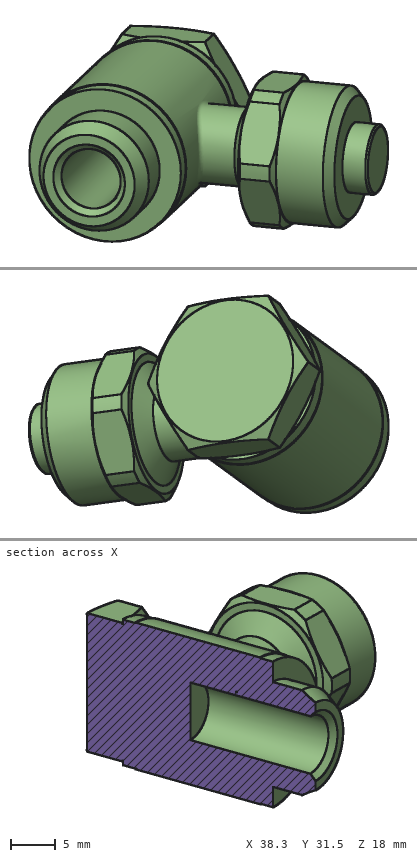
import cadquery as cq
import math


bolt_end_y = -17.2
washer_bottom_y = -11.35
body_bottom_y = -9.58
body_top_y = 7.55
head_bottom_y = 9.3
head_top_y = 14.3
body_radius = 9.0
washer_radius = 8.93
head_flats = 16.97
head_chamfer_radius = 8.3
stub_radius = 6.45
stub_tip_radius = 5.35
bore_radius = 3.5
bore_mouth_radius = 4.2
bore_end_y = 0.0

neck_end_x = 13.03
nut_start_x = 14.55
nut_end_x = 19.05
sleeve_end_x = 25.6
tip_end_x = 28.5
neck_radius = 4.5
neck_fillet = 0.45
cone_end_radius = 7.0
nut_flats = 16.0
nut_corner_radius = 8.77
nut_chamfer_radius = 7.93
sleeve_chamfer = 1.05
tip_radius = 4.0
tip_chamfer = 0.23

TAN_30 = math.tan(math.radians(30))
CORNER_RATIO = 1 / math.cos(math.radians(30))


def cylinder_y(radius, start, end):
    return cq.Workplane("XZ", origin=(0, start, 0)).circle(radius).extrude(start - end)


def cylinder_x(radius, start, end):
    return cq.Workplane("YZ", origin=(start, 0, 0)).circle(radius).extrude(end - start)


def chamfered_blank(face_radius, corner_radius, length):
    """Round bar along Z with 30 degree chamfers reaching face_radius at both ends."""
    drop = (corner_radius - face_radius) * TAN_30
    profile = [
        (0, 0),
        (face_radius, 0),
        (corner_radius, drop),
        (corner_radius, length - drop),
        (face_radius, length),
        (0, length),
    ]
    return cq.Workplane("XZ").polyline(profile).close().revolve(360, (0, 0), (0, 1))


def hex_prism(flats, length):
    """Hexagonal bar along Z with corners on the X axis."""
    return cq.Workplane("XY").polygon(6, flats * CORNER_RATIO).extrude(length)


def make_head():
    length = head_top_y - head_bottom_y
    corner_radius = head_flats / 2 * CORNER_RATIO
    head = hex_prism(head_flats, length)
    head = head.intersect(chamfered_blank(head_chamfer_radius, corner_radius, length))
    return head.rotate((0, 0, 0), (1, 0, 0), -90).translate((0, head_bottom_y, 0))


def make_stub():
    tip_step = stub_radius - stub_tip_radius
    stub = cylinder_y(stub_radius, bolt_end_y, washer_bottom_y)
    return stub.faces("<Y").edges().chamfer(tip_step / TAN_30, tip_step)


def make_bore():
    mouth_depth = bore_mouth_radius - bore_radius
    profile = [
        (0, bolt_end_y),
        (bore_mouth_radius, bolt_end_y),
        (bore_radius, bolt_end_y + mouth_depth),
        (bore_radius, bore_end_y),
        (0, bore_end_y),
    ]
    return cq.Workplane("XY").polyline(profile).close().revolve(360, (0, 0), (0, 1))


def make_body_with_neck():
    body = cylinder_y(body_radius, body_bottom_y, body_top_y)
    body = body.union(cylinder_x(neck_radius, 0, neck_end_x))
    joint = cq.selectors.BoxSelector(
        (body_radius / 2, -neck_radius, -neck_radius),
        (body_radius, neck_radius, neck_radius),
        boundingbox=False,
    )
    return body.edges(joint).fillet(neck_fillet)


def make_nut():
    length = nut_end_x - nut_start_x
    nut = hex_prism(nut_flats, length)
    nut = nut.intersect(chamfered_blank(nut_chamfer_radius, nut_corner_radius, length))
    nut = nut.rotate((0, 0, 0), (0, 0, 1), 90).rotate((0, 0, 0), (0, 1, 0), 90)
    return nut.translate((nut_start_x, 0, 0))


def make_cone():
    profile = [
        (neck_end_x, 0),
        (neck_end_x, neck_radius),
        (nut_start_x, cone_end_radius),
        (nut_start_x, 0),
    ]
    return cq.Workplane("XY").polyline(profile).close().revolve(360, (0, 0), (1, 0))


def make_sleeve():
    sleeve = cylinder_x(nut_flats / 2, nut_end_x, sleeve_end_x)
    return sleeve.faces(">X").edges().chamfer(sleeve_chamfer)


def make_tip():
    tip = cylinder_x(tip_radius, sleeve_end_x, tip_end_x)
    return tip.faces(">X").edges().chamfer(tip_chamfer)


result = make_body_with_neck()
result = result.union(cylinder_y(washer_radius, washer_bottom_y, body_bottom_y))
result = result.union(cylinder_y(washer_radius, body_top_y, head_bottom_y))
for feature in (make_head(), make_stub(), make_cone(), make_nut(), make_sleeve(), make_tip()):
    result = result.union(feature)
result = result.cut(make_bore())